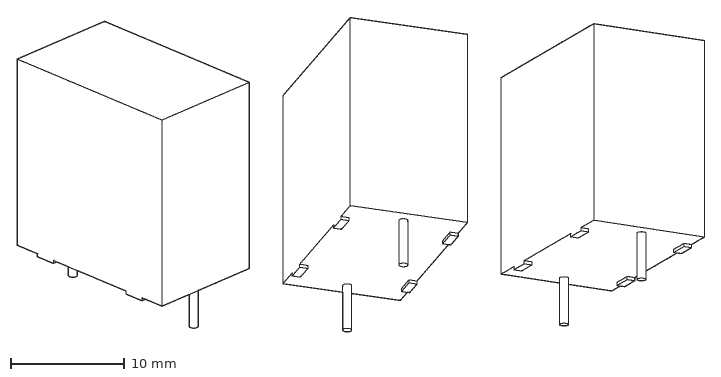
import cadquery as cq

body_length = 18.0
body_width = 11.0
overall_height = 22.5

lead_diameter = 0.8
lead_spacing = 15.0
lead_length = 4.3

foot_length = 2.0
foot_width = 0.76
foot_height = 0.3
foot_spacing_x = 11.0

body_height = overall_height - lead_length
foot_spacing_y = body_width - foot_width


def make_body():
    """Rectangular case with its underside at Z = 0."""
    return cq.Workplane("XY").box(body_length, body_width, body_height, centered=(True, True, False))


def make_leads():
    """Pair of leads on the X axis, running down from the underside."""
    return (
        cq.Workplane("XY")
        .rarray(lead_spacing, 0.22, 2, 1)
        .circle(lead_diameter / 2)
        .extrude(-lead_length)
    )


def make_feet():
    """Rectangular pads that hold the case clear of the board."""
    return (
        cq.Workplane("XY")
        .rarray(foot_spacing_x, foot_spacing_y, 2, 2)
        .rect(foot_length, foot_width)
        .extrude(-foot_height)
    )


result = make_body().union(make_leads()).union(make_feet())